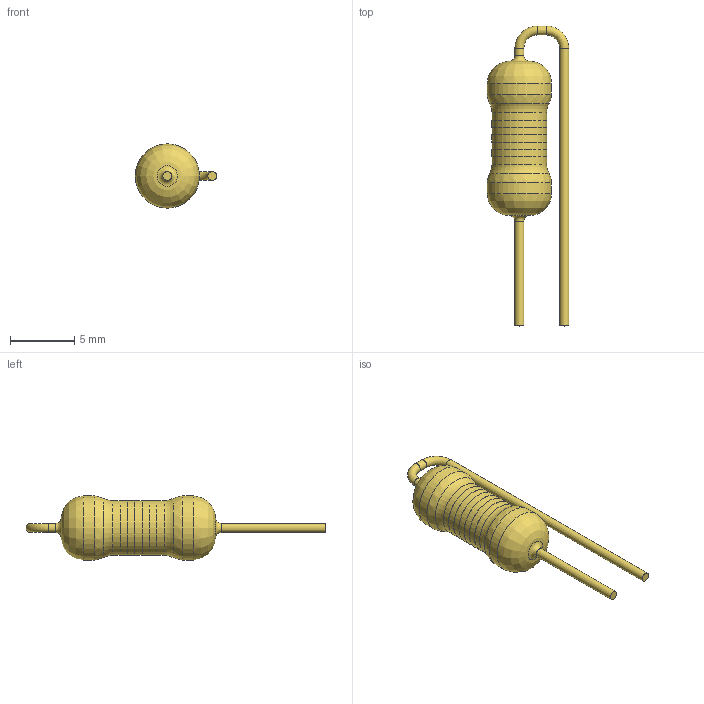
import cadquery as cq
import math


body_length = 12.0
cap_diameter = 5.0
neck_diameter = 4.25
dome_radius = 1.7
cap_land = 0.85
neck_length = 4.0

band_diameter = 4.27
band_count = 3

wire_diameter = 0.7
lead_pitch = 3.5
bend_radius = 1.4
straight_lead_length = 8.6
stub_length = 1.0

body_end = body_length / 2
cap_radius = cap_diameter / 2
neck_radius = neck_diameter / 2
wire_radius = wire_diameter / 2
lead_tip_y = -body_end - straight_lead_length
bend_start_y = body_end + stub_length

meniscus_radius = cap_radius - dome_radius - wire_radius

neck_end = neck_length / 2
band_width = neck_length / (2 * band_count + 1)

land_start = body_end - dome_radius - cap_land
shoulder_half_length = (land_start - neck_end) / 2
shoulder_half_step = (cap_radius - neck_radius) / 2
shoulder_radius = (shoulder_half_length**2 + shoulder_half_step**2) / (2 * shoulder_half_step)


def make_half_body():
    """Half of the body of revolution, from the middle plane to the +Y meniscus."""
    land_end = body_end - dome_radius
    shoulder_middle = (neck_radius + shoulder_half_step, neck_end + shoulder_half_length)
    dome_rim = (cap_radius - dome_radius, body_end)
    return (
        cq.Workplane("XY")
        .lineTo(neck_radius, 0)
        .lineTo(neck_radius, neck_end)
        .radiusArc(shoulder_middle, shoulder_radius)
        .radiusArc((cap_radius, land_start), -shoulder_radius)
        .lineTo(cap_radius, land_end)
        .radiusArc(dome_rim, -dome_radius)
        .radiusArc((wire_radius, body_end + meniscus_radius), meniscus_radius)
        .lineTo(0, body_end + meniscus_radius)
        .close()
        .revolve(360, (0, 0, 0), (0, 1, 0))
    )


def make_band(start_y):
    """One colour band, running toward +Y from start_y."""
    return (
        cq.Workplane("XZ", origin=(0, start_y, 0))
        .circle(band_diameter / 2)
        .extrude(-band_width)
    )


def make_straight_lead():
    """Lead on the -Y end, running from the body straight to its tip."""
    return (
        cq.Workplane("XZ", origin=(0, lead_tip_y, 0))
        .circle(wire_radius)
        .extrude(-straight_lead_length)
    )


def make_bent_lead():
    """Lead that leaves the +Y end, turns back and ends level with the other lead."""
    diagonal = bend_radius * math.sqrt(0.5)
    bend_top_y = bend_start_y + bend_radius
    path = (
        cq.Workplane("XY")
        .moveTo(0, body_end)
        .lineTo(0, bend_start_y)
        .threePointArc(
            (bend_radius - diagonal, bend_start_y + diagonal),
            (bend_radius, bend_top_y),
        )
        .lineTo(lead_pitch - bend_radius, bend_top_y)
        .threePointArc(
            (lead_pitch - bend_radius + diagonal, bend_start_y + diagonal),
            (lead_pitch, bend_start_y),
        )
        .lineTo(lead_pitch, lead_tip_y)
    )
    return cq.Workplane("XZ", origin=(0, body_end, 0)).circle(wire_radius).sweep(path)


half_body = make_half_body()
result = half_body.union(half_body.mirror("XZ"))
for index in range(band_count):
    band_start_y = (2 * index + 1) * band_width - neck_end
    result = result.union(make_band(band_start_y))
result = result.union(make_straight_lead())
result = result.union(make_bent_lead())